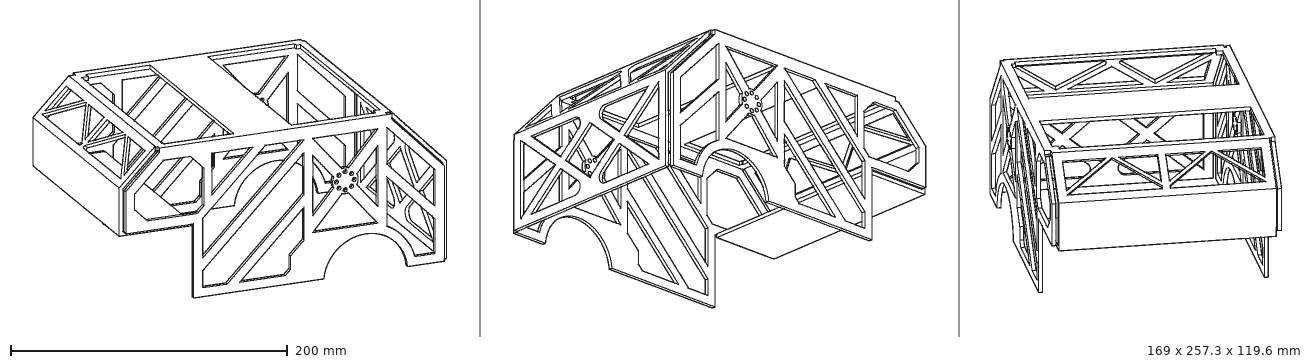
import cadquery as cq
import math


overall_width = 169.0
overall_length = 257.34
overall_height = 119.61
sheet = 3.0
side_gap = 1.5
frame = 7.0
half_width = overall_width / 2
half_length = overall_length / 2
strip_half_width = half_width - sheet - side_gap
slit_x = half_width - sheet - side_gap / 2
roof_underside = overall_height - sheet

rear_wall_height = 75.6
rear_fold_y = 85.25
nose_fold_y = -100.4
nose_wall_top = 91.5
tray_bottom = 54.2
tray_rear_y = -72.0

side_rear_y = 124.95
side_front_y = -125.3
side_top_rear_y = 83.7
side_top_front_y = -98.9
side_rear_clearance = 0.8
side_front_clearance = 0.4
side_rear_shoulder_z = 73.7
side_nose_bottom = tray_bottom + sheet
side_rear_corner_z = roof_underside - side_rear_clearance
side_front_corner_z = roof_underside - side_front_clearance

slit_front_y = 80.7
relief_rear_y = -95.3

roof_window_half_width = half_width - frame
rear_opening_y = (7.8, 79.2)
front_opening_y = (-93.2, -37.6)
relief_step = (4.5, 5.2)
rear_plain_step = (3.0, 3.2)
front_plain_step = (2.5, 0.8)

truss_half_width = strip_half_width - frame
truss_apex_x = truss_half_width / 2
rear_bar = 7.0
nose_bar = 2.8
nose_post = 5.8
nose_frame_bottom = 6.0
rear_slope_frame_top = 7.5
wall_corner_radius = 5.8
slope_corner_radius = 4.8

diagonal_height = frame * math.sqrt(2)
bay_top = roof_underside - frame
bay_bottom = frame
rear_bay_y = (79.9, 117.6)
cross_bay_y = (21.6, 72.7)
front_bay_y = (-64.8, 14.8)

rear_window_corner_z = 71.8
rear_diagonal_top_z = 81.4

arch_y = 63.2
arch_z = -3.0
arch_radius = 33.0
arch_rim = 7.0

hub_y = sum(cross_bay_y) / 2
hub_z = 73.3
hub_radius = 10.0
cross_slope = 1.16
cross_arm_height = 13.0
hub_hole_diameter = 3.0
hub_hole_circle_radius = 7.0
hub_hole_count = 8

upper_strip_end_y = -15.6
lower_window_top_z = 57.6
lower_window_step_y = 4.0
lower_window_step_z = (11.0, 21.5)
corner_window_front_y = -57.7

nose_opening_y = (side_front_y + frame, -64.0)
nose_opening_bottom = 64.8
nose_opening_top_rear_chamfer = 10.5
nose_opening_front_corner_z = 86.9
nose_opening_bottom_front_chamfer = 10.0
nose_opening_bottom_rear_chamfer = 5.2


def unit(start, end):
    length = math.dist(start, end)
    return ((end[0] - start[0]) / length, (end[1] - start[1]) / length)


def inner_path(path):
    """Offset an open path of (y, z) points one sheet thickness to its left, with mitred corners."""
    legs = [unit(start, end) for start, end in zip(path, path[1:])]
    offset = []
    for (y, z), before, after in zip(path, legs[:1] + legs, legs + legs[-1:]):
        reach = sheet / (1 + before[0] * after[0] + before[1] * after[1])
        offset.append((y - (before[1] + after[1]) * reach, z + (before[0] + after[0]) * reach))
    return offset


def prism_across(points, x_start, x_end):
    """Prism along X on an outline of (y, z) points."""
    return cq.Workplane("YZ", origin=(x_start, 0, 0)).polyline(points).close().extrude(x_end - x_start)


def through_sides(points):
    return prism_across(points, -half_width, half_width)


def disc_through_sides(y, z, radius):
    plane = cq.Workplane("YZ", origin=(-half_width, 0, 0))
    return plane.center(y, z).circle(radius).extrude(overall_width)


def roof_block(x_range, y_range):
    """Block as thick as the roof, from corner to corner."""
    (x_start, x_end), (y_start, y_end) = x_range, y_range
    corner = cq.Vector(x_start, y_start, roof_underside)
    return cq.Workplane("XY").box(x_end - x_start, y_end - y_start, sheet, centered=False).translate(corner)


def panel_plane(low_edge, high_edge):
    """Plane of a panel: origin on its lower edge, local x along X and local y up the panel."""
    up = cq.Vector(0, *unit(low_edge, high_edge))
    return cq.Plane(origin=(0, *low_edge), xDir=(1, 0, 0), normal=cq.Vector(1, 0, 0).cross(up))


def panel_window(plane, points, rounded_corner=None, corner_radius=0):
    """Prism through a panel, with the edge at `rounded_corner` filleted if one is given."""
    window = cq.Workplane(plane).polyline(points).close().extrude(2 * sheet, both=True)
    if rounded_corner is None:
        return window
    spot = plane.toWorldCoords(rounded_corner).toTuple()
    upright_edges = window.edges(cq.selectors.ParallelDirSelector(plane.zDir))
    return upright_edges.edges(cq.selectors.NearestToPointSelector(spot)).fillet(corner_radius)


def mirrored(points):
    return [(-x, y) for x, y in points]


def bar_run(bar_width, rise):
    """Width along X of a truss bar that climbs `rise` over half a truss bay."""
    return bar_width / math.sin(math.atan2(abs(rise), truss_apex_x))


strip_path = [
    (half_length, 0),
    (half_length, rear_wall_height),
    (rear_fold_y, overall_height),
    (nose_fold_y, overall_height),
    (-half_length, nose_wall_top),
    (-half_length, tray_bottom),
    (tray_rear_y, tray_bottom),
]
rear_foot, rear_wall_fold, rear_roof_fold, nose_roof_fold, nose_wall_fold = strip_path[:5]
strip = prism_across(strip_path + inner_path(strip_path)[::-1], -strip_half_width, strip_half_width)


def rear_wall_windows():
    """Two crosses side by side: end triangles, a central diamond and four rounded triangles."""
    plane = panel_plane(rear_foot, rear_wall_fold)
    bottom, top = frame, rear_wall_height - frame
    middle = (bottom + top) / 2
    rise = middle - bottom
    run = bar_run(rear_bar, rise)
    end = [(-truss_half_width, bottom), (-truss_half_width, top), (-truss_apex_x, middle)]
    diamond_x = truss_apex_x - run
    diamond_z = rise * diamond_x / truss_apex_x
    diamond = [(-diamond_x, middle), (0, middle + diamond_z), (diamond_x, middle), (0, middle - diamond_z)]
    windows = [panel_window(plane, points) for points in (end, mirrored(end), diamond)]
    half_base = truss_apex_x - run / 2
    apex_depth = rise * half_base / truss_apex_x
    for base, apex in ((bottom, bottom + apex_depth), (top, top - apex_depth)):
        triangle = [(-2 * half_base, base), (-half_base, apex), (0, base)]
        for points in (triangle, mirrored(triangle)):
            windows.append(panel_window(plane, points, (0, base), wall_corner_radius))
    return windows


def slope_windows(plane, base, apex, bar_width, rounded_corner=None):
    """W-shaped truss: two triangles standing on `base` and three gaps between them along `apex`."""
    run = bar_run(bar_width, apex - base)
    gap_reach = truss_apex_x - run
    gap_tip = apex - (apex - base) * gap_reach / truss_apex_x
    triangle = [(-truss_half_width, base), (-truss_apex_x, apex), (0, base)]
    end_gap = [(-truss_half_width, apex), (-truss_apex_x - run, apex), (-truss_half_width, gap_tip)]
    middle_gap = [(-gap_reach, apex), (gap_reach, apex), (0, gap_tip)]
    windows = [
        panel_window(plane, points, rounded_corner, slope_corner_radius)
        for points in (triangle, mirrored(triangle))
    ]
    windows += [panel_window(plane, points) for points in (end_gap, mirrored(end_gap), middle_gap)]
    return windows


def rear_slope_windows():
    plane = panel_plane(rear_wall_fold, rear_roof_fold)
    base = math.dist(rear_wall_fold, rear_roof_fold) - rear_slope_frame_top
    return slope_windows(plane, base, frame, rear_bar, rounded_corner=(0, base))


def nose_slope_windows():
    """Truss with an upright post left standing in the middle."""
    plane = panel_plane(nose_wall_fold, nose_roof_fold)
    length = math.dist(nose_wall_fold, nose_roof_fold)
    windows = slope_windows(plane, nose_frame_bottom, length - frame, nose_bar)
    post = cq.Workplane(plane).center(0, length / 2).rect(nose_post, length).extrude(2 * sheet, both=True)
    return [window.cut(post) for window in windows]


def roof_edges():
    """Roof carried out over the side panels, with a bridge beside the two unslit corners."""
    bridge_x = half_width - sheet
    return [
        roof_block((-half_width, half_width), (side_top_front_y, side_top_rear_y)),
        roof_block((-bridge_x, -strip_half_width), (side_top_rear_y, rear_fold_y)),
        roof_block((strip_half_width, bridge_x), (nose_fold_y, side_top_front_y)),
    ]


def roof_reliefs():
    """Slit at the rear right corner, and a notch over the side panel at the front left corner."""
    slit = roof_block((slit_x - side_gap / 2, slit_x + side_gap / 2), (slit_front_y, rear_fold_y))
    notch = roof_block((-half_width, -strip_half_width), (nose_fold_y, relief_rear_y))
    return [slit, notch]


def roof_windows():
    """Two rectangular openings, each with a large and a small step left in its outer corners."""
    x = roof_window_half_width
    windows = []
    for (y_start, y_end), outer_y, inward, (large_step, small_step), large_side in (
        (rear_opening_y, rear_opening_y[1], -1, (relief_step, rear_plain_step), 1),
        (front_opening_y, front_opening_y[0], 1, (relief_step, front_plain_step), -1),
    ):
        window = roof_block((-x, x), (y_start, y_end))
        for side, (step_x, step_y) in ((large_side, large_step), (-large_side, small_step)):
            x_range = sorted((side * x, side * (x - step_x)))
            y_range = sorted((outer_y, outer_y + inward * step_y))
            window = window.cut(roof_block(x_range, y_range))
        windows.append(window)
    return windows


side_outline = [
    (side_rear_y, 0),
    (side_rear_y, side_rear_shoulder_z),
    (side_top_rear_y, side_rear_corner_z),
    (side_top_rear_y, roof_underside),
    (side_top_front_y, roof_underside),
    (side_top_front_y, side_front_corner_z),
    (side_front_y, side_front_corner_z - (side_top_front_y - side_front_y)),
    (side_front_y, side_nose_bottom),
    (tray_rear_y, side_nose_bottom),
    (tray_rear_y, 0),
]
side_panels = [
    prism_across(side_outline, x_inner, x_inner + sheet) for x_inner in (-half_width, half_width - sheet)
]


def rear_bay_windows():
    """Two windows with a 45 degree bar between them, the lower one clear of the arch rim."""
    front, rear = rear_bay_y
    drop = rear - front
    bar_bottom = rear_diagonal_top_z - diagonal_height
    upper = [
        (front, bay_top),
        (front, rear_diagonal_top_z),
        (rear, rear_diagonal_top_z - drop),
        (rear, rear_window_corner_z),
    ]
    lower = [(front, bar_bottom), (front, bay_bottom), (rear, bay_bottom), (rear, bar_bottom - drop)]
    arch_band = disc_through_sides(arch_y, arch_z, arch_radius + arch_rim)
    return [through_sides(upper), through_sides(lower).cut(arch_band)]


def cross_bay_windows():
    """Four triangles around the cross, each stopping at the hub."""
    front, rear = cross_bay_y
    half_height = bay_top - hub_z
    triangle_depth = (rear - front) / 2 * cross_slope
    side_half_height = half_height - cross_arm_height
    side_depth = side_half_height / cross_slope
    hub = disc_through_sides(hub_y, hub_z, hub_radius)
    windows = []
    for way in (1, -1):
        edge_z = hub_z + way * half_height
        edge_y = hub_y + way * (rear - front) / 2
        end = [(rear, edge_z), (front, edge_z), (hub_y, edge_z - way * triangle_depth)]
        side = [
            (edge_y, hub_z + side_half_height),
            (edge_y, hub_z - side_half_height),
            (edge_y - way * side_depth, hub_z),
        ]
        windows += [through_sides(end).cut(hub), through_sides(side).cut(hub)]
    return windows


def hub_holes():
    holes = []
    for index in range(hub_hole_count):
        angle = 2 * math.pi * index / hub_hole_count
        y = hub_y + hub_hole_circle_radius * math.cos(angle)
        z = hub_z + hub_hole_circle_radius * math.sin(angle)
        holes.append(disc_through_sides(y, z, hub_hole_diameter / 2))
    return holes


def front_bay_windows():
    """Four windows parted by three parallel bars falling at 45 degrees towards the nose."""
    front, rear = front_bay_y
    drop = rear - front
    second_top = bay_top - diagonal_height
    lower_bar_top = lower_window_top_z + diagonal_height
    step_bottom, step_top = lower_window_step_z
    corner_rear_y = upper_strip_end_y - diagonal_height
    upper_strip = [
        (rear, bay_top),
        (upper_strip_end_y, bay_top),
        (front, bay_top - (upper_strip_end_y - front)),
        (front, bay_top - drop),
    ]
    lower_strip = [
        (rear, second_top),
        (front, second_top - drop),
        (front, bay_bottom),
        (rear - (lower_bar_top - bay_bottom), bay_bottom),
        (rear, lower_bar_top),
    ]
    lower_window = [
        (rear, lower_window_top_z),
        (rear - (lower_window_top_z - bay_bottom), bay_bottom),
        (lower_window_step_y - (step_bottom - bay_bottom), bay_bottom),
        (lower_window_step_y, step_bottom),
        (lower_window_step_y, step_top),
        (rear, step_top + rear - lower_window_step_y),
    ]
    corner_window = [
        (corner_rear_y, bay_top),
        (corner_window_front_y, bay_top),
        (corner_window_front_y, bay_top - (corner_rear_y - corner_window_front_y)),
    ]
    return [through_sides(points) for points in (upper_strip, lower_strip, lower_window, corner_window)]


def nose_opening():
    """Eight-sided opening beside the tray, all its corners cut at 45 degrees."""
    front, rear = nose_opening_y
    return through_sides([
        (rear, bay_top - nose_opening_top_rear_chamfer),
        (rear - nose_opening_top_rear_chamfer, bay_top),
        (front + bay_top - nose_opening_front_corner_z, bay_top),
        (front, nose_opening_front_corner_z),
        (front, nose_opening_bottom + nose_opening_bottom_front_chamfer),
        (front + nose_opening_bottom_front_chamfer, nose_opening_bottom),
        (rear - nose_opening_bottom_rear_chamfer, nose_opening_bottom),
        (rear, nose_opening_bottom + nose_opening_bottom_rear_chamfer),
    ])


def side_cutouts():
    arch = disc_through_sides(arch_y, arch_z, arch_radius)
    bays = rear_bay_windows() + cross_bay_windows() + front_bay_windows()
    return bays + hub_holes() + [nose_opening(), arch]


shell = strip
for edge in roof_edges():
    shell = shell.union(edge)
for panel in side_panels:
    for cutout in side_cutouts():
        panel = panel.cut(cutout)
    shell = shell.union(panel)
for cutout in (
    rear_wall_windows() + rear_slope_windows() + nose_slope_windows() + roof_windows() + roof_reliefs()
):
    shell = shell.cut(cutout)

result = cq.Compound.makeCompound([shell.val()])